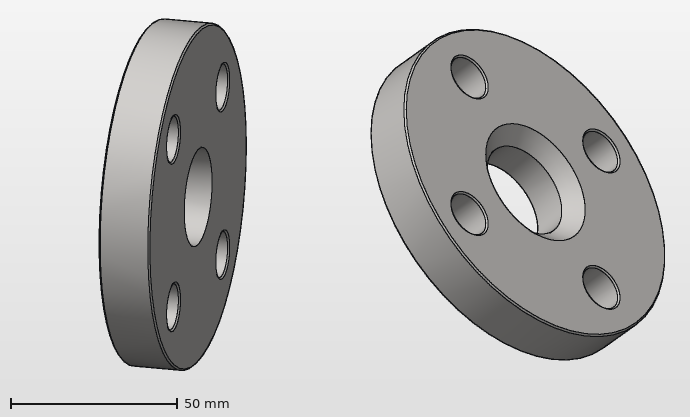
import cadquery as cq

outer_diameter = 105.0
thickness = 16.0
rim_chamfer = 0.5

bore_diameter = 30.0
mouth_diameter = 40.0
mouth_depth = (mouth_diameter - bore_diameter) / 2

bolt_hole_diameter = 14.0
bolt_circle_diameter = 75.0
bolt_count = 4
first_bolt_angle = 45
bolt_hole_chamfer = 0.5


def make_disc():
    disc = cq.Workplane("YZ").circle(outer_diameter / 2).extrude(thickness)
    return disc.edges().chamfer(rim_chamfer)


def cut_bolt_holes(body):
    drilled = (
        body.faces("<X").workplane(origin=(0, 0, 0))
        .polarArray(bolt_circle_diameter / 2, first_bolt_angle, 360, bolt_count)
        .hole(bolt_hole_diameter)
    )
    hole_rims = drilled.edges(cq.selectors.RadiusNthSelector(0))
    return hole_rims.chamfer(bolt_hole_chamfer)


def cut_bore(body):
    bore_radius = bore_diameter / 2
    mouth_radius = mouth_diameter / 2
    bore = (
        cq.Workplane("XY")
        .polyline([
            (0, 0),
            (0, mouth_radius),
            (mouth_depth, bore_radius),
            (thickness, bore_radius),
            (thickness, 0),
        ])
        .close()
        .revolve(360, (0, 0, 0), (1, 0, 0))
    )
    return body.cut(bore)


result = cut_bore(cut_bolt_holes(make_disc()))